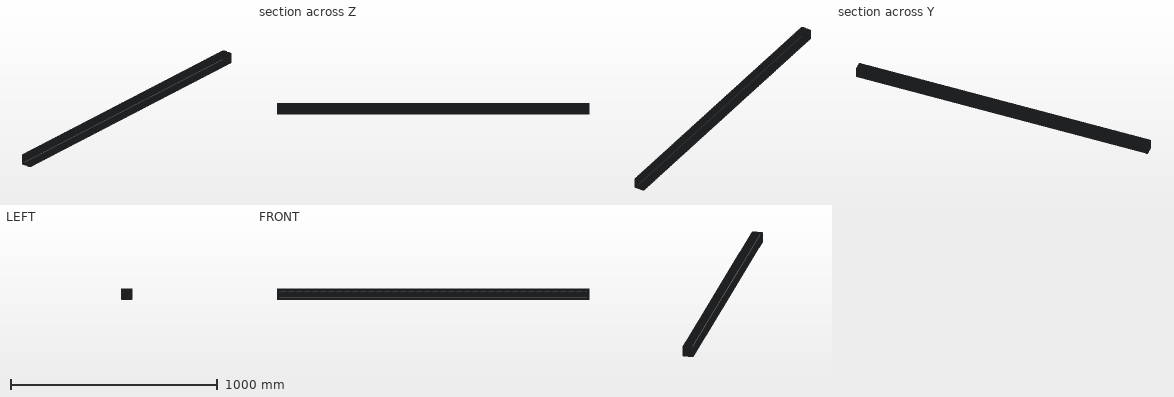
import cadquery as cq

LENGTH = 1500.0
SIDE = 45.0
EDGE_RADIUS = 2.5
HALF_SIDE = SIDE / 2

SLOT_OPENING = 8.8
SLOT_INNER_WIDTH = 14.0
SLOT_FLOOR_WIDTH = 6.0
SLOT_DEPTH = 13.5
LIP_THICKNESS = 4.5
STRAIGHT_WALL = 6.0

HOLLOW_WALL = 2.0
HOLLOW_RADIUS = 5.0

CORE_BORE_DIAMETER = 10.0

SIDE_ANGLES = (0, 90, 180, 270)


def extrude_along_bar(outline):
    """Extrude a YZ outline over the full length of the bar."""
    return outline.extrude(LENGTH / 2, both=True)


def outer_bar():
    """Square bar with rounded long edges."""
    bar = extrude_along_bar(cq.Workplane("YZ").rect(SIDE, SIDE))
    return bar.edges("|X").fillet(EDGE_RADIUS)


def t_slot():
    """Cutter for the T-slot in the +Z side, tapering towards its floor."""
    lip_bottom = HALF_SIDE - LIP_THICKNESS
    half_outline = [
        (SLOT_OPENING / 2, HALF_SIDE),
        (SLOT_OPENING / 2, lip_bottom),
        (SLOT_INNER_WIDTH / 2, lip_bottom),
        (SLOT_INNER_WIDTH / 2, lip_bottom - STRAIGHT_WALL),
        (SLOT_FLOOR_WIDTH / 2, HALF_SIDE - SLOT_DEPTH),
    ]
    mirrored_half = [(-y, z) for y, z in reversed(half_outline)]
    outline = cq.Workplane("YZ").polyline(half_outline + mirrored_half).close()
    return extrude_along_bar(outline)


def corner_hollow():
    """Cutter for the hollow in the +Y +Z corner, rounded at two opposite corners."""
    outer = HALF_SIDE - HOLLOW_WALL
    inner = SLOT_INNER_WIDTH / 2 + HOLLOW_WALL
    width = outer - inner
    centre = (outer + inner) / 2
    outline = cq.Workplane("YZ").center(centre, centre).rect(width, width)
    hollow = extrude_along_bar(outline)
    diagonal = (0, 1, 1)
    outermost_edge = cq.selectors.DirectionMinMaxSelector(cq.Vector(diagonal), True)
    innermost_edge = cq.selectors.DirectionMinMaxSelector(cq.Vector(diagonal), False)
    return hollow.edges("|X").edges(outermost_edge + innermost_edge).fillet(HOLLOW_RADIUS)


def core_bore():
    """Cutter for the round bore on the bar axis."""
    return extrude_along_bar(cq.Workplane("YZ").circle(CORE_BORE_DIAMETER / 2))


def turned(cutter, angle):
    """Turn a cutter about the bar axis."""
    return cutter.rotate((0, 0, 0), (1, 0, 0), angle)


result = outer_bar().cut(core_bore())
for side_angle in SIDE_ANGLES:
    result = result.cut(turned(t_slot(), side_angle))
    result = result.cut(turned(corner_hollow(), side_angle))